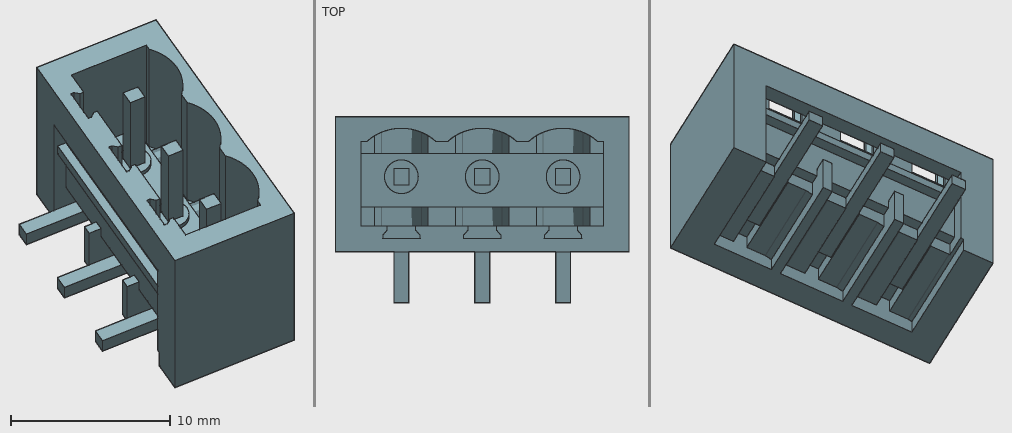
import cadquery as cq
import math


pole_count = 3
pitch = 5.08
pole_xs = [(i - (pole_count - 1) / 2) * pitch for i in range(pole_count)]
rib_xs = [x + pitch / 2 for x in pole_xs[:-1]]

housing_length = 18.44
housing_depth = 8.5
housing_height = 12.0

cavity_length = pole_count * pitch
cavity_front = 1.62
cavity_back = 6.95
cavity_floor = 2.8
scallop_radius = 3.25
scallop_back = 7.77

plateau_front = 2.82
plateau_back = 6.2
plateau_top = 4.5
collar_diameter = 2.12
collar_height = 0.3

ridge_radius = 1.48
ridge_half_base = 1.68
ridge_flank_angle = math.radians(58)

keyway_neck_width = 1.8
keyway_width = 2.34
keyway_flank_front = 1.06
keyway_flank_back = 1.36
keyway_bottom = 7.85

window_half_width = 6.92
window_top = 8.83
window_depth = 0.85
front_wall_bottom = 2.5
block_front = 1.45
ledge_bottom = 5.96
ledge_top = 6.7
ledge_front = 0.27

recess_top = 1.3
recess_right = 7.13
roof_flat_half_width = 1.78
roof_drop = 0.14
rib_width = 0.64
rib_top = 3.25

pin_width = 0.95
tail_bottom = 1.5
tail_top = 2.5
tail_reach = 3.2
post_front = 4.2
post_back = 5.25
pin_top = 11.0
post_center = (post_front + post_back) / 2


def box(x0, x1, y0, y1, z0, z1):
    """Axis-aligned block between two opposite corners."""
    return cq.Workplane("XY").box(x1 - x0, y1 - y0, z1 - z0, centered=False).translate((x0, y0, z0))


def mating_cavity():
    """Rectangular well with a round scallop in its back wall at each pole."""
    half = cavity_length / 2
    well = box(-half, half, cavity_front, cavity_back, cavity_floor, housing_height)
    scallop_center = scallop_back - scallop_radius
    back_zone = box(-half, half, scallop_center, scallop_back, cavity_floor, housing_height)
    for x in pole_xs:
        scallop = (
            cq.Workplane("XY", origin=(x, scallop_center, cavity_floor))
            .circle(scallop_radius)
            .extrude(housing_height - cavity_floor)
        )
        well = well.union(scallop.intersect(back_zone))
    return well


def ridge(x):
    """Arched ridge along Y with two straight flanks tangent to its crown."""
    tangent_x = ridge_radius * math.sin(ridge_flank_angle)
    tangent_z = cavity_floor + (ridge_half_base - tangent_x) * math.tan(ridge_flank_angle)
    crown_z = tangent_z + ridge_radius * (1 - math.cos(ridge_flank_angle))
    return (
        cq.Workplane("XZ", origin=(x, cavity_front, 0))
        .moveTo(-ridge_half_base, cavity_floor)
        .lineTo(-tangent_x, tangent_z)
        .threePointArc((0, crown_z), (tangent_x, tangent_z))
        .lineTo(ridge_half_base, cavity_floor)
        .close()
        .extrude(cavity_front - scallop_back)
    )


def cavity_floor_details(cavity):
    """Ridges, plateau and pin collars that stand on the cavity floor."""
    half = cavity_length / 2
    details = box(-half, half, plateau_front, plateau_back, cavity_floor, plateau_top)
    for x in pole_xs:
        collar = (
            cq.Workplane("XY", origin=(x, post_center, plateau_top))
            .circle(collar_diameter / 2)
            .extrude(collar_height)
        )
        details = details.union(ridge(x).intersect(cavity)).union(collar)
    return details


def keyway(x):
    """Dovetail slot, open at the top and towards the cavity."""
    neck = keyway_neck_width / 2
    wide = keyway_width / 2
    return (
        cq.Workplane("XY", origin=(x, 0, keyway_bottom))
        .polyline([
            (-neck, cavity_front),
            (-neck, keyway_flank_back),
            (-wide, keyway_flank_front),
            (-wide, window_depth),
            (wide, window_depth),
            (wide, keyway_flank_front),
            (neck, keyway_flank_back),
            (neck, cavity_front),
        ])
        .close()
        .extrude(housing_height - keyway_bottom)
    )


def front_window():
    """Shallow opening in the front face, deeper below the thin front wall, around a ledge."""
    half = window_half_width
    upper = box(-half, half, 0, window_depth, 0, window_top)
    lower = box(-half, half, 0, block_front, 0, front_wall_bottom)
    ledge = box(-half, half, ledge_front, window_depth, ledge_bottom, ledge_top)
    return upper.union(lower).cut(ledge)


def bottom_recess():
    """Hollow under the floor whose roof slopes down between the poles."""
    slope_end = pitch / 2 - rib_width / 2
    recess = box(-window_half_width, recess_right, 0, cavity_back, 0, recess_top - roof_drop)
    for x in pole_xs:
        roof = (
            cq.Workplane("XZ", origin=(x, 0, 0))
            .polyline([
                (-slope_end, recess_top - roof_drop),
                (-roof_flat_half_width, recess_top),
                (roof_flat_half_width, recess_top),
                (slope_end, recess_top - roof_drop),
            ])
            .close()
            .extrude(-cavity_back)
        )
        recess = recess.union(roof)
    return recess.intersect(box(-window_half_width, recess_right, 0, cavity_back, 0, recess_top))


def rib(x):
    """Upright rib from the front face to the back of the bottom recess."""
    half = rib_width / 2
    front_part = box(x - half, x + half, 0, block_front, 0, rib_top)
    rear_part = box(x - half, x + half, block_front, cavity_back, 0, recess_top)
    return front_part.union(rear_part)


def pin_seat(x):
    """Channel for the pin tail, open below, and the hole for its post."""
    half = pin_width / 2
    channel = box(x - half, x + half, block_front, cavity_back, 0, tail_top)
    post_hole = box(x - half, x + half, post_front, post_back, 0, housing_height)
    return channel.union(post_hole)


def make_housing():
    half = housing_length / 2
    cavity = mating_cavity()
    housing = box(-half, half, 0, housing_depth, 0, housing_height).cut(cavity)
    housing = housing.union(cavity_floor_details(cavity))
    housing = housing.cut(front_window()).cut(bottom_recess())
    for x in pole_xs:
        housing = housing.cut(keyway(x)).cut(pin_seat(x))
    for x in rib_xs:
        housing = housing.union(rib(x))
    return housing


def make_pin(x):
    """Square pin bent at a right angle: a tail towards -Y and an upright post."""
    half = pin_width / 2
    tail = box(x - half, x + half, -tail_reach, post_back, tail_bottom, tail_top)
    post = box(x - half, x + half, post_front, post_back, tail_bottom, pin_top)
    return tail.union(post)


housing = make_housing()
pins = [make_pin(x) for x in pole_xs]

result = cq.Compound.makeCompound([housing.val(), *[pin.val() for pin in pins]])